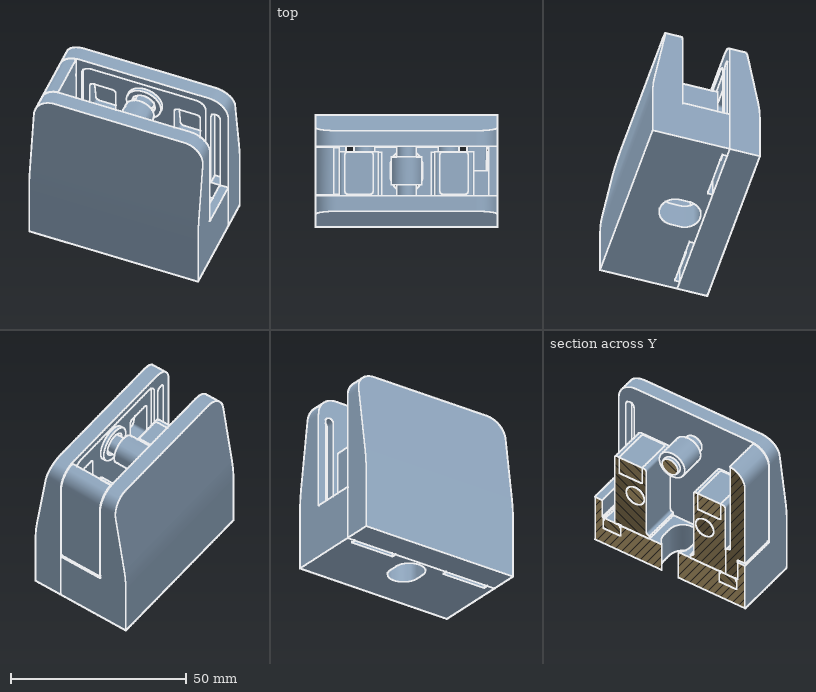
import cadquery as cq

width = 52.0
depth = 32.0
height = 52.0
top_depth = 23.0
taper_start = 21.7
taper_blend = 50.0
corner_radius = 6.0
edge_margin = 0.1
half_width = width / 2
half_depth = depth / 2

channel_half = 7.0
rim_z = 16.5
floor_z = 10.0
rim_inner_x = 23.4
cable_slot_width = 9.2
cable_slot_length = 12.0
slot_y = 5.5
slot_inner_x = 9.0
seam_relief = 0.2
seam_relief_depth = 1.0

groove_inner_x = 20.7
groove_outer_x = 23.5
groove_depth = 3.0
groove_top_z = 45.9

recess_depth = 1.1
recess_half_width = 19.1
recess_top_z = 49.45
recess_corner = 3.0
window_width = 8.0
window_height = 12.0
window_top_z = 42.1
window_center_x = 13.0
window_corner = 1.2
window_wall = 1.8
bearing_diameter = 10.6
bearing_bore = 7.0
recess_floor_y = channel_half + recess_depth

tab_inner_x = 17.2
tab_outer_x = 23.0
tab_tip_outer_x = 22.7
tab_height = 4.0
tab_edge_radius = 1.0

roller_z = 41.2
roller_length = 8.0
roller_radius = 4.4
journal_radius = 2.8
journal_end_y = 10.0

block_inner_x = 8.1
block_outer_x = 19.2
block_top_z = 36.0
block_edge_radius = 1.05
foot_height = 1.0
foot_back_y = 5.3
insert_width = 8.0
insert_center_x = 13.55
insert_front_y = -6.6
insert_back_y = 5.4
insert_height = 6.0
insert_corner = 0.7
dowel_x = 12.0
dowel_z = 24.0
dowel_diameter = 6.0
dowel_start_y = 2.5
dowel_end_y = 11.0

panel_half_depth = 6.8
panel_bottom_z = 17.25
panel_inner_x = 20.7
panel_foot_half_depth = 6.6
panel_foot_top_z = 20.0
panel_foot_radius = 1.2


def box(x0, x1, y0, y1, z0, z1):
    """Box between two opposite corners; the X limits may come in either order."""
    left = min(x0, x1)
    return cq.Workplane("XY").box(abs(x1 - x0), y1 - y0, z1 - z0, centered=False).translate((left, y0, z0))


def y_cylinder(diameter, x, z, y0, y1):
    """Cylinder along Y."""
    workplane = cq.Workplane("XZ", origin=(x, y0, z))
    return workplane.circle(diameter / 2).extrude(y0 - y1)


def tapered_shell(inset):
    """Outer shape with its sloping faces moved inward by inset along Y."""
    side = half_depth - inset
    top = top_depth / 2 - inset
    outline = [
        (-side, 0),
        (side, 0),
        (side, taper_start),
        (top, height),
        (-top, height),
        (-side, taper_start),
    ]
    body = cq.Workplane("YZ", origin=(-half_width, 0, 0)).polyline(outline).close().extrude(width)
    blend_edges = cq.selectors.BoxSelector(
        (-half_width, -depth, taper_start - edge_margin), (half_width, depth, taper_start + edge_margin)
    )
    return body.edges("|X").edges(blend_edges).fillet(taper_blend)


def rounded_profile():
    """Block as wide and tall as the part, with rounded upper corners."""
    body = box(-half_width, half_width, -half_depth, half_depth, 0, height)
    return body.edges("|Y and >Z").fillet(corner_radius)


def round_topped_key(side, wall, near_y, bottom_z):
    """Upright bar with a round top, from near_y to the end of a groove.

    side is the sign of X and wall the sign of Y.
    """
    left, right = sorted((side * groove_inner_x, side * groove_outer_x))
    radius = (right - left) / 2
    straight_top = groove_top_z - radius
    length = channel_half + groove_depth - near_y
    return (
        cq.Workplane("XZ", origin=(0, wall * near_y, 0))
        .moveTo(left, bottom_z)
        .lineTo(left, straight_top)
        .threePointArc((left + radius, groove_top_z), (right, straight_top))
        .lineTo(right, bottom_z)
        .close()
        .extrude(-wall * length)
    )


def make_housing():
    body = tapered_shell(0).intersect(rounded_profile())
    body = body.cut(box(-half_width, half_width, channel_half, half_depth, 0, height))
    body = body.cut(box(-half_width, half_width, -channel_half, channel_half, rim_z, height))
    body = body.cut(box(-rim_inner_x, rim_inner_x, -channel_half, channel_half, floor_z, rim_z))
    body = body.cut(cq.Workplane("XY").slot2D(cable_slot_length, cable_slot_width, 90).extrude(floor_z))
    relief_y = channel_half - seam_relief
    body = body.cut(
        box(-rim_inner_x, rim_inner_x, relief_y, channel_half, floor_z - seam_relief_depth, floor_z)
    )
    for side in (-1, 1):
        body = body.cut(box(side * slot_inner_x, side * rim_inner_x, slot_y, channel_half, 0, floor_z))
        body = body.cut(
            box(side * tab_inner_x, side * tab_outer_x, 0, channel_half, floor_z - tab_height, floor_z)
        )
        body = body.cut(round_topped_key(side, -1, channel_half, rim_z))
    return body.cut(y_cylinder(2 * journal_radius, 0, roller_z, -journal_end_y, -channel_half))


def make_tab(side):
    """Tab on the cover, narrowing to its tip, with its long upper edges rounded."""
    plan = [
        (side * tab_inner_x, channel_half),
        (side * tab_inner_x, 0),
        (side * tab_tip_outer_x, 0),
        (side * tab_outer_x, channel_half),
    ]
    tab = cq.Workplane("XY", origin=(0, 0, floor_z - tab_height)).polyline(plan).close().extrude(tab_height)
    return tab.edges(">Z").edges("not |X").fillet(tab_edge_radius)


def make_window(side):
    """Window pocket whose floor follows the outer slope."""
    x = side * window_center_x
    window = box(
        x - window_width / 2,
        x + window_width / 2,
        recess_floor_y,
        half_depth,
        window_top_z - window_height,
        window_top_z,
    )
    window = window.edges("|Y").fillet(window_corner)
    return window.intersect(tapered_shell(window_wall))


def make_cover():
    body = tapered_shell(0).intersect(rounded_profile())
    body = body.cut(box(-half_width, half_width, -half_depth, channel_half, 0, height))
    recess = box(
        -recess_half_width, recess_half_width, channel_half, recess_floor_y, rim_z, recess_top_z
    )
    body = body.cut(recess.edges("|Y and >Z").fillet(recess_corner))
    body = body.union(y_cylinder(bearing_diameter, 0, roller_z, channel_half, recess_floor_y))
    body = body.cut(y_cylinder(bearing_bore, 0, roller_z, channel_half, recess_floor_y))
    body = body.cut(y_cylinder(2 * journal_radius, 0, roller_z, recess_floor_y, journal_end_y))
    for side in (-1, 1):
        body = body.cut(make_window(side))
        body = body.cut(round_topped_key(side, 1, channel_half, rim_z))
        body = body.cut(make_dowel(side))
        body = body.union(make_tab(side))
    return body


def make_roller():
    """Roller with a thinner journal at each end, along Y."""
    half_length = roller_length / 2
    drum = y_cylinder(2 * roller_radius, 0, roller_z, -half_length, half_length)
    return drum.union(y_cylinder(2 * journal_radius, 0, roller_z, -journal_end_y, journal_end_y))


def make_dowel(side):
    return y_cylinder(dowel_diameter, side * dowel_x, dowel_z, dowel_start_y, dowel_end_y)


def make_insert(side):
    """Pad set flush into the top of a block."""
    x = side * insert_center_x
    insert = box(
        x - insert_width / 2,
        x + insert_width / 2,
        insert_front_y,
        insert_back_y,
        block_top_z - insert_height,
        block_top_z,
    )
    return insert.edges("|Z").fillet(insert_corner)


def make_block(side):
    """Block on the floor, with a foot that flows into its inner side."""
    body = box(side * block_inner_x, side * block_outer_x, -channel_half, slot_y, floor_z, block_top_z)
    body = body.edges("|Y and >Z").fillet(block_edge_radius)
    foot_tip_x = side * (block_inner_x - block_edge_radius)
    foot_z = floor_z + foot_height
    fillet_top = foot_z + block_edge_radius
    foot = box(foot_tip_x, side * block_inner_x, -channel_half, foot_back_y, floor_z, fillet_top)
    hollow = y_cylinder(2 * block_edge_radius, foot_tip_x, fillet_top, -channel_half, foot_back_y)
    body = body.union(foot.cut(hollow))
    return body.cut(make_insert(side)).cut(make_dowel(side))


def make_panel():
    """End panel with tongues in the wall grooves and a foot reaching inward."""
    plate = box(
        -half_width, -panel_inner_x, -panel_half_depth, panel_half_depth, panel_bottom_z, height
    )
    panel = plate.intersect(rounded_profile())
    foot = box(
        -rim_inner_x,
        -block_outer_x,
        -panel_foot_half_depth,
        panel_foot_half_depth,
        floor_z,
        panel_foot_top_z,
    )
    panel = panel.union(foot.edges("|Y and >Z and >X").fillet(panel_foot_radius))
    for wall in (-1, 1):
        panel = panel.union(round_topped_key(-1, wall, panel_half_depth, panel_bottom_z))
    return panel


housing = make_housing()
cover = make_cover()
panel = make_panel()
roller = make_roller()
blocks = [make_block(side) for side in (-1, 1)]
inserts = [make_insert(side) for side in (-1, 1)]
dowels = [make_dowel(side) for side in (-1, 1)]

bodies = [housing, cover, panel, roller, *blocks, *inserts, *dowels]
result = cq.Compound.makeCompound([body.val() for body in bodies])